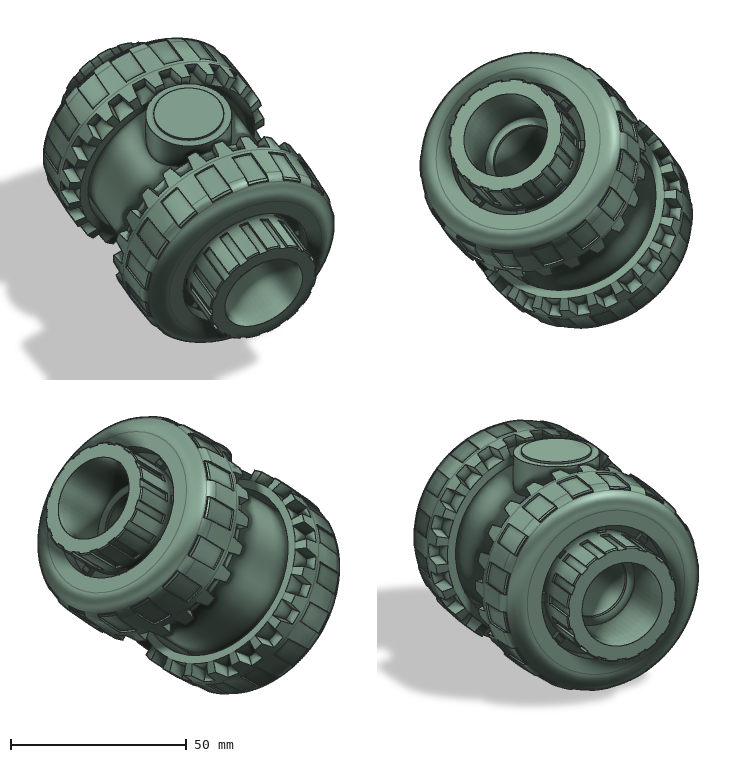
import cadquery as cq


half_length = 45.5
bore_radius = 20.0 / 2

body_radius = 47.7 / 2
boss_radius = 24.5 / 2
boss_top = 31.1
boss_root = 18.2

plate_radius = 19.9 / 2
plate_top = 31.8
plate_recess_depth = 0.6

nut_face_x = -34.3
nut_mouth_x = -12.9
nut_radius = 63.0 / 2
nut_face_radius = 24.6
nut_hole_radius = 40.0 / 2
nut_bore_radius = 51.2 / 2
nut_flange_thickness = 4.8
shoulder_start_x = -28.9
shoulder_radius = 31.0
shoulder_bend_x = -31.85
shoulder_bend_radius = 29.85
corner_arc_x = -33.6
corner_arc_radius = 27.85
shoulder_arc_x = -30.5
shoulder_arc_radius = 30.7
crest_x = -19.6
flange_inner_x = nut_face_x + nut_flange_thickness

tooth_count = 23
tooth_root_radius = 28.1
tooth_root_x = -18.5
tooth_tip_x = -13.7
notch_root_width = 4.0
notch_mouth_width = 6.0

panel_count = 16
panel_inner_radius = 30.85
panel_outer_radius = 30.4
panel_inner_x = -20.7
panel_outer_x = -30.6
panel_lip_x = -31.4
panel_lip_radius = 29.85
panel_inner_width = 6.3
panel_outer_width = 6.8

connector_radius = 34.4 / 2
connector_chamfer = 0.4
socket_radius = 25.0 / 2
socket_depth = 19.0
collar_radius = 48.3 / 2
collar_thickness = 4.0
collar_inner_x = flange_inner_x + collar_thickness

groove_count = 16
groove_floor_radius = 16.5
groove_width = 2.6
groove_end_x = -33.3
gusset_count = 8
gusset_width = 2.55
gusset_foot_radius = 17.3
gusset_foot_x = -31.7
gusset_front_radius = 17.7
gusset_front_x = -31.4
gusset_crest_radius = 19.1
gusset_root_radius = 19.9

wedge_inner_radius = 13.65
outside_radius = nut_radius + 0.9


def turned(points):
    """Revolve a closed outline of (x, radius) points about the X axis."""
    return cq.Workplane("XY").polyline(points).close().revolve(360, (0, 0, 0), (1, 0, 0))


def tube(start_x, end_x, inner_radius, outer_radius):
    return turned([
        (start_x, inner_radius), (start_x, outer_radius), (end_x, outer_radius), (end_x, inner_radius),
    ])


def cut_around(solid, cutter, count, first_angle):
    """Cut equally spaced copies of a cutter, turned about the X axis."""
    for i in range(count):
        solid = solid.cut(cutter.rotate((0, 0, 0), (1, 0, 0), first_angle + i * 360 / count))
    return solid


def radial_wedge(start_x, end_x, start_width, end_width, surface_radius):
    """A wedge along -Y with sides on radial planes; its widths hold at surface_radius."""
    wedge = cq.Workplane("XZ").workplane(offset=wedge_inner_radius)
    for radius, step in ((wedge_inner_radius, outside_radius - wedge_inner_radius), (outside_radius, 0)):
        start_half = start_width / 2 * radius / surface_radius
        end_half = end_width / 2 * radius / surface_radius
        wedge = (
            wedge
            .polyline([(start_x, -start_half), (end_x, -end_half), (end_x, end_half), (start_x, start_half)])
            .close()
            .workplane(offset=step)
        )
    return wedge.loft(ruled=True)


def make_body():
    barrel = tube(collar_inner_x, -collar_inner_x, bore_radius, body_radius)
    boss = cq.Workplane("XY").workplane(offset=boss_root).circle(boss_radius).extrude(boss_top - boss_root)
    recess_floor = cq.Workplane("XY").workplane(offset=boss_top - plate_recess_depth)
    recess = recess_floor.circle(plate_radius).extrude(plate_recess_depth)
    return barrel.union(boss).cut(recess)


def make_plate():
    seat = boss_top - plate_recess_depth
    return cq.Workplane("XY").workplane(offset=seat).circle(plate_radius).extrude(plate_top - seat)


def make_nut():
    blank = (
        cq.Workplane("XY")
        .moveTo(nut_face_x, nut_hole_radius)
        .lineTo(nut_face_x, nut_face_radius)
        .threePointArc((corner_arc_x, corner_arc_radius), (shoulder_bend_x, shoulder_bend_radius))
        .threePointArc((shoulder_arc_x, shoulder_arc_radius), (shoulder_start_x, shoulder_radius))
        .lineTo(crest_x, nut_radius)
        .lineTo(tooth_tip_x, nut_radius)
        .lineTo(nut_mouth_x, tooth_root_radius)
        .lineTo(nut_mouth_x, nut_bore_radius)
        .lineTo(flange_inner_x, nut_bore_radius)
        .lineTo(flange_inner_x, nut_hole_radius)
        .close()
        .revolve(360, (0, 0, 0), (1, 0, 0))
    )
    panel_ring = turned([
        (panel_inner_x, outside_radius),
        (panel_inner_x, panel_inner_radius),
        (panel_outer_x, panel_outer_radius),
        (panel_lip_x, panel_lip_radius),
        (panel_lip_x, outside_radius),
    ])
    panel = radial_wedge(panel_lip_x, panel_inner_x, panel_outer_width, panel_inner_width, nut_radius)
    panel_cutter = panel.intersect(panel_ring)
    nut = cut_around(blank, panel_cutter, panel_count, 180 / panel_count)

    notch_ring = tube(tooth_root_x, nut_mouth_x, tooth_root_radius, outside_radius)
    notch = radial_wedge(tooth_root_x, nut_mouth_x, notch_root_width, notch_mouth_width, nut_radius)
    return cut_around(nut, notch.intersect(notch_ring), tooth_count, 0)


def make_connector():
    connector = turned([
        (-half_length, socket_radius),
        (-half_length, connector_radius - connector_chamfer),
        (-half_length + connector_chamfer, connector_radius),
        (flange_inner_x, connector_radius),
        (flange_inner_x, collar_radius),
        (collar_inner_x, collar_radius),
        (collar_inner_x, bore_radius),
        (-half_length + socket_depth, bore_radius),
        (-half_length + socket_depth, socket_radius),
    ])
    groove_ring = tube(-half_length, groove_end_x, groove_floor_radius, connector_radius)
    groove = radial_wedge(-half_length, groove_end_x, groove_width, groove_width, connector_radius)
    connector = cut_around(connector, groove.intersect(groove_ring), groove_count, 0)

    gusset = (
        cq.Workplane("XY")
        .workplane(offset=-gusset_width / 2)
        .polyline([
            (gusset_foot_x, groove_floor_radius),
            (gusset_foot_x, gusset_foot_radius),
            (gusset_front_x, gusset_front_radius),
            (gusset_front_x, gusset_crest_radius),
            (flange_inner_x, gusset_root_radius),
            (flange_inner_x, groove_floor_radius),
        ])
        .close()
        .extrude(gusset_width)
    )
    for i in range(gusset_count):
        connector = connector.union(gusset.rotate((0, 0, 0), (1, 0, 0), i * 360 / gusset_count))
    return connector


def at_both_ends(part):
    """The left-hand part and its copy turned half round about Z."""
    return [part, part.rotate((0, 0, 0), (0, 0, 1), 180)]


body = make_body()
plate = make_plate()
nuts = at_both_ends(make_nut())
connectors = at_both_ends(make_connector())

result = cq.Compound.makeCompound([
    body.solids().val(),
    plate.solids().val(),
    *[nut.solids().val() for nut in nuts],
    *[connector.solids().val() for connector in connectors],
])